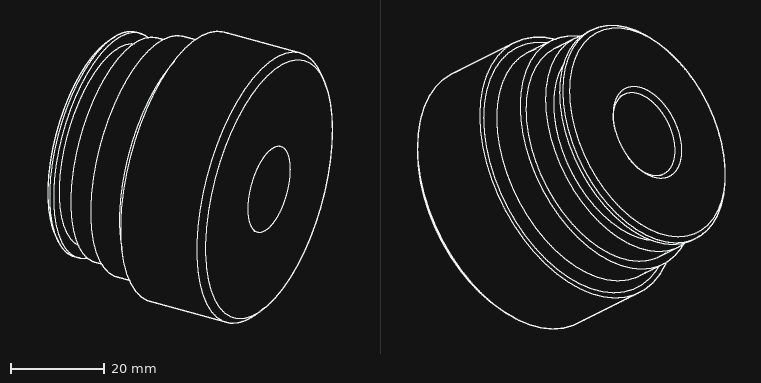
import cadquery as cq

length = 41.0
body_radius = 30.0
body_start = 21.0
body_chamfer = 1.4

neck_radius = 26.8
neck_start = 12.0
cone_start = 19.0
cone_end_radius = 28.8

spigot_radius = 25.0
spigot_chamfer = 1.0
groove_radius = 22.5
groove_start = 2.0
groove_end = 6.2

bore_radius = 9.55
bore_chamfer = 1.0


def turned_body():
    """Solid of revolution, drawn as (position along X, radius)."""
    profile = [
        (0, 0),
        (0, spigot_radius - spigot_chamfer),
        (spigot_chamfer, spigot_radius),
        (groove_start, spigot_radius),
        (groove_start, groove_radius),
        (groove_end, groove_radius),
        (groove_end, spigot_radius),
        (neck_start, spigot_radius),
        (neck_start, neck_radius),
        (cone_start, neck_radius),
        (body_start, cone_end_radius),
        (body_start, body_radius),
        (length - body_chamfer, body_radius),
        (length, body_radius - body_chamfer),
        (length, 0),
    ]
    outline = cq.Workplane("XY").polyline(profile).close()
    return outline.revolve(360, (0, 0, 0), (1, 0, 0))


def bore_cutter():
    """Through bore with a chamfered mouth at the small end."""
    mouth_radius = bore_radius + bore_chamfer
    profile = [
        (0, 0),
        (0, mouth_radius),
        (bore_chamfer, bore_radius),
        (length, bore_radius),
        (length, 0),
    ]
    outline = cq.Workplane("XY").polyline(profile).close()
    return outline.revolve(360, (0, 0, 0), (1, 0, 0))


result = turned_body().cut(bore_cutter())